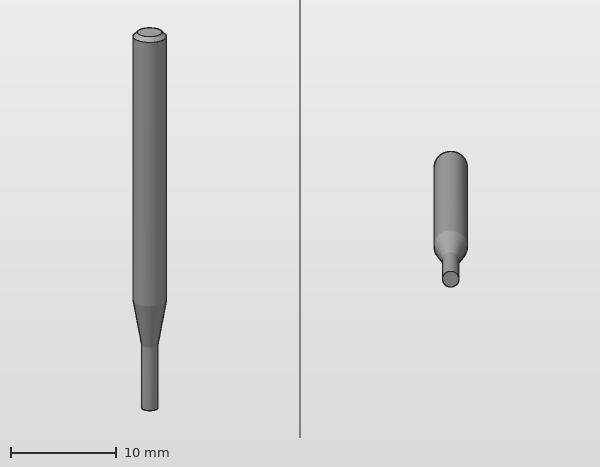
import cadquery as cq

total_length = 38.1
shank_diameter = 3.15
pin_diameter = 1.55
pin_length = 6.4
taper_length = 4.5
chamfer_width = 0.42
chamfer_height = 0.42

shank_radius = shank_diameter / 2
pin_radius = pin_diameter / 2
shank_start = pin_length + taper_length

profile = (
    cq.Workplane("XZ")
    .lineTo(pin_radius, 0)
    .lineTo(pin_radius, pin_length)
    .lineTo(shank_radius, shank_start)
    .lineTo(shank_radius, total_length - chamfer_height)
    .lineTo(shank_radius - chamfer_width, total_length)
    .lineTo(0, total_length)
    .close()
)

result = profile.revolve(360, (0, 0, 0), (0, 1, 0))